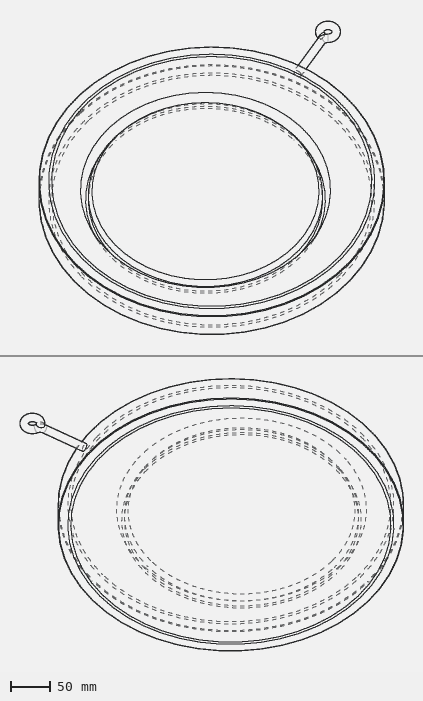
import cadquery as cq
import math

housing_diameter = 440.0
housing_thickness = 38.0
housing_radius = housing_diameter / 2
half_thickness = housing_thickness / 2
housing_edge_chamfer = 1.0

seal_ring_radius = 205.5
seal_section_radius = 2.5
seal_protrusion = 0.9
seal_center_height = half_thickness + seal_protrusion - seal_section_radius

flap_center_y = -16.0
recess_top_radius = 159.0
recess_floor_radius = 152.5
recess_depth = 20.0
recess_floor_height = half_thickness - recess_depth

flap_top_radius = 144.4
flap_radius = 149.0
flap_top_setback = 2.5
flap_bevel_height = 8.0
flap_height = recess_depth - flap_top_setback

rod_radius = 5.5
eye_bend_radius = 10.5
elbow_bend_radius = 10.5
eye_center_y = 298.25
eye_end_angle = 20.0
rod_embed_depth = 5.0


def cone_frustum(bottom_radius, top_radius, height, base_height):
    """Upright cone frustum on the flap axis."""
    return cq.Workplane(
        cq.Solid.makeCone(
            bottom_radius,
            top_radius,
            height,
            pnt=cq.Vector(0, flap_center_y, base_height),
        )
    )


def seal_ring(center_height):
    return cq.Workplane(
        cq.Solid.makeTorus(seal_ring_radius, seal_section_radius, cq.Vector(0, 0, center_height))
    )


def lifting_eye():
    """Straight rod, elbow to the +X side, then an open loop back to the elbow."""
    bend_sum = eye_bend_radius + elbow_bend_radius
    elbow_start_y = eye_center_y - math.sqrt(bend_sum**2 - elbow_bend_radius**2)
    elbow_angle = math.acos(elbow_bend_radius / bend_sum)

    def elbow_point(angle):
        return (
            elbow_bend_radius * (1 - math.cos(angle)),
            elbow_start_y + elbow_bend_radius * math.sin(angle),
        )

    def eye_point(angle):
        return (
            eye_bend_radius * math.cos(angle),
            eye_center_y + eye_bend_radius * math.sin(angle),
        )

    loop_start_angle = -elbow_angle
    loop_end_angle = math.radians(270 - eye_end_angle)
    rod_start_y = housing_radius - rod_embed_depth
    rod_profile = cq.Workplane("XZ", origin=(0, rod_start_y, 0)).circle(rod_radius)
    stem_path = (
        cq.Workplane("XY")
        .moveTo(0, rod_start_y)
        .lineTo(0, elbow_start_y)
        .threePointArc(elbow_point(elbow_angle / 2), elbow_point(elbow_angle))
    )
    stem = rod_profile.sweep(stem_path)

    loop_path = (
        cq.Workplane("XY")
        .moveTo(*eye_point(loop_start_angle))
        .threePointArc(
            eye_point((loop_start_angle + loop_end_angle) / 2),
            eye_point(loop_end_angle),
        )
    )
    loop_start = cq.Plane(
        origin=(*eye_point(loop_start_angle), 0),
        xDir=(0, 0, 1),
        normal=(-math.sin(loop_start_angle), math.cos(loop_start_angle), 0),
    )
    loop = cq.Workplane(loop_start).circle(rod_radius).sweep(loop_path)
    return stem.union(loop)


def make_housing():
    ring = (
        cq.Workplane("XY", origin=(0, 0, -half_thickness))
        .circle(housing_radius)
        .extrude(housing_thickness)
        .edges()
        .chamfer(housing_edge_chamfer)
    )
    recess = cone_frustum(recess_floor_radius, recess_top_radius, recess_depth, recess_floor_height)
    housing = ring.cut(recess)
    for side in (-1, 1):
        housing = housing.union(seal_ring(side * seal_center_height))
    return housing.union(lifting_eye())


def make_flap():
    straight_height = flap_height - flap_bevel_height
    disc = (
        cq.Workplane("XY", origin=(0, flap_center_y, recess_floor_height))
        .circle(flap_radius)
        .extrude(straight_height)
    )
    bevel = cone_frustum(
        flap_radius,
        flap_top_radius,
        flap_bevel_height,
        recess_floor_height + straight_height,
    )
    return disc.union(bevel)


housing = make_housing()
flap = make_flap()

result = cq.Compound.makeCompound([housing.val(), flap.val()])